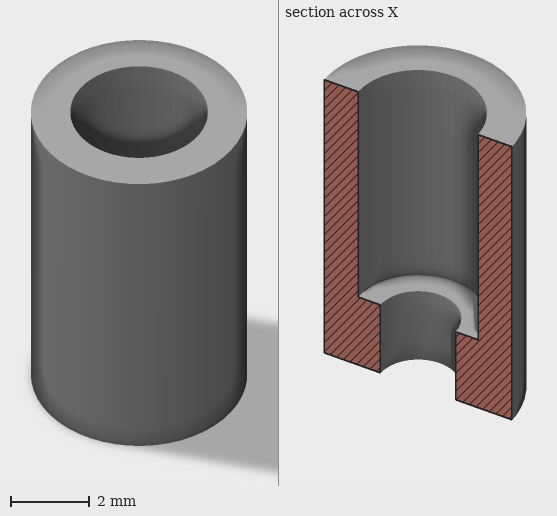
import cadquery as cq

height = 8.9
outer_diameter = 5.5
hole_diameter = 2.2
counterbore_diameter = 3.5
floor_thickness = 2.225
counterbore_depth = height - floor_thickness

sleeve = cq.Workplane("XY").circle(outer_diameter / 2).extrude(height)

result = (
    sleeve.faces(">Z")
    .workplane()
    .cboreHole(hole_diameter, counterbore_diameter, counterbore_depth)
)